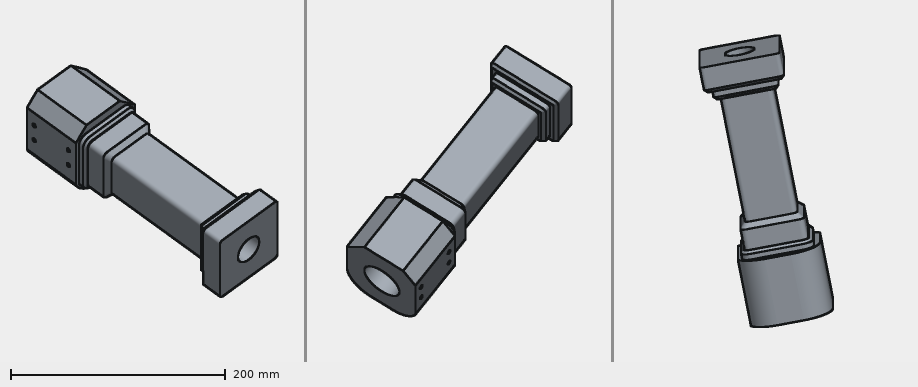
import cadquery as cq

total_length = 254.0

head_length = 64.5
head_top = 45.0
head_bottom = 43.0
head_back = 40.0
head_front = 38.0
back_chamfer = 20.0
front_chamfer = 14.0
lower_radius = 27.5

rim_width = 68.3
rim_corner = 10.0
rim_end = 73.0
rim_chamfer = 3.0
collar_width = 60.5
collar_corner = 5.3
collar_end = 92.7
taper_end = 98.3
post_width = 49.8
post_corner = 4.8
neck_width = 62.0
neck_corner = 4.0
neck_start = 219.0
flange_width = 2 * head_front
flange_corner = 4.0
flange_start = 228.9
plate_chamfer = 3.3

socket_diameter = 40.0
bore_diameter = 28.0

pin_diameter = 4.0
pin_depth = 10.2
pin_first_x = 9.7
pin_pitch_x = 45.0
pin_lowest_z = -5.8
pin_pitch_z = 19.8


def section_plane(x):
    """Plane across the bore axis: local x is Y, local y is Z, normal is +X."""
    return cq.Workplane("YZ", origin=(x, 0, 0))


def square_bar(start, end, width, corner):
    """Square bar along X with rounded long edges."""
    bar = section_plane(start).rect(width, width).extrude(end - start)
    return bar.edges("|X").fillet(corner)


def make_head():
    block = (
        section_plane(0)
        .moveTo(-head_back, head_top)
        .lineTo(-head_back, -head_bottom)
        .lineTo(head_back, -head_bottom)
        .lineTo(head_back, head_top - back_chamfer)
        .lineTo(head_back - back_chamfer, head_top)
        .close()
        .extrude(head_length)
        .edges("|X and <Z")
        .fillet(lower_radius)
    )
    envelope = (
        section_plane(0)
        .moveTo(-head_front, -head_bottom)
        .lineTo(head_back, -head_bottom)
        .lineTo(head_back, head_top)
        .lineTo(front_chamfer - head_front, head_top)
        .lineTo(-head_front, head_top - front_chamfer)
        .close()
        .extrude(head_length)
    )
    return block.intersect(envelope)


def make_rim():
    rim = square_bar(head_length, rim_end, rim_width, rim_corner)
    return rim.faces(">X").chamfer(rim_chamfer)


def make_taper():
    """Transition from the collar down to the post."""
    collar_outline = cq.Sketch().rect(collar_width, collar_width).vertices().fillet(collar_corner)
    post_outline = cq.Sketch().rect(post_width, post_width).vertices().fillet(post_corner)
    return (
        section_plane(collar_end)
        .placeSketch(
            collar_outline,
            post_outline.moved(cq.Location(cq.Vector(0, 0, taper_end - collar_end))),
        )
        .loft()
    )


def chamfered_plate(start, end, width, corner):
    """Rounded square plate with a chamfer around its -X face."""
    return square_bar(start, end, width, corner).faces("<X").chamfer(plate_chamfer)


def make_pin_holes():
    points = [
        (pin_first_x + i * pin_pitch_x, pin_lowest_z + j * pin_pitch_z)
        for i in range(2)
        for j in range(2)
    ]
    return (
        cq.Workplane("XZ", origin=(0, -head_front, 0))
        .pushPoints(points)
        .circle(pin_diameter / 2)
        .extrude(-pin_depth)
    )


body = (
    make_head()
    .union(make_rim())
    .union(square_bar(rim_end, collar_end, collar_width, collar_corner))
    .union(make_taper())
    .union(square_bar(taper_end, neck_start, post_width, post_corner))
    .union(chamfered_plate(neck_start, flange_start, neck_width, neck_corner))
    .union(chamfered_plate(flange_start, total_length, flange_width, flange_corner))
)
bore = section_plane(0).circle(bore_diameter / 2).extrude(total_length)
socket = section_plane(0).circle(socket_diameter / 2).extrude(head_length)

result = body.cut(bore).cut(socket).cut(make_pin_holes())